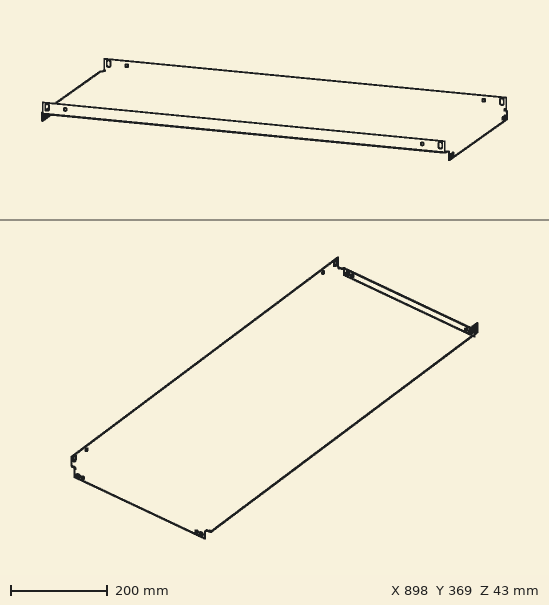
import cadquery as cq
import math

length = 898.0
width = 369.0
thickness = 1.5
side_flange_height = 25.5
end_flange_height = 19.0
side_flange_length = 885.5
end_flange_length = 345.0
inner_bend_radius = 1.5
outer_bend_radius = inner_bend_radius + thickness

relief_depth = 2.5
relief_width = 3.5

side_slot_x = 433.25
side_slot_z = 14.5
side_slot_length = 14.5
side_slot_width = 8.5
side_hole_x = 393.25
side_hole_z = 13.75
side_hole_diameter = 6.5

end_slot_y = 162.25
end_slot_length = 9.0
end_slot_width = 6.5
end_hole_y = 150.25
end_hole_diameter = 6.5
end_holes_z = -11.25

lengthwise = 0
upright = 90

half_length = length / 2
half_width = width / 2
mirror_signs = (-1, 1)


def channel_section(plane, half_span, leg_end, panel_outer, panel_inner, depth):
    """Extrude a U section, centred on its plane, with rounded bends between web and legs."""
    leg_direction = 1 if leg_end > panel_outer else -1
    outer_bend = panel_outer + leg_direction * outer_bend_radius
    inner_bend = panel_inner + leg_direction * inner_bend_radius
    inner_span = half_span - thickness
    bend_start = half_span - outer_bend_radius

    def on_bend(side, radius):
        """Middle point of a bend arc; inner and outer arcs share one centre."""
        diagonal = radius * math.sqrt(0.5)
        return (side * (bend_start + diagonal), outer_bend - leg_direction * diagonal)

    return (
        cq.Workplane(plane)
        .moveTo(-half_span, leg_end)
        .lineTo(-half_span, outer_bend)
        .threePointArc(on_bend(-1, outer_bend_radius), (-bend_start, panel_outer))
        .lineTo(bend_start, panel_outer)
        .threePointArc(on_bend(1, outer_bend_radius), (half_span, outer_bend))
        .lineTo(half_span, leg_end)
        .lineTo(inner_span, leg_end)
        .lineTo(inner_span, inner_bend)
        .threePointArc(on_bend(1, inner_bend_radius), (bend_start, panel_inner))
        .lineTo(-bend_start, panel_inner)
        .threePointArc(on_bend(-1, inner_bend_radius), (-inner_span, inner_bend))
        .lineTo(-inner_span, leg_end)
        .close()
        .extrude(depth / 2, both=True)
    )


def bent_panel():
    """Join the upward side flanges and the downward end flanges through the shared panel."""
    side_channel = channel_section(
        "YZ", half_width, side_flange_height - thickness, -thickness, 0, side_flange_length
    )
    end_channel = channel_section(
        "XZ", half_length, -end_flange_height, 0, -thickness, end_flange_length
    )
    return side_channel.union(end_channel)


def corner_reliefs():
    """Notches in the panel edge, starting where the bend of each side flange begins."""
    centre_x = (side_flange_length - relief_depth) / 2
    centre_y = half_width - outer_bend_radius - relief_width / 2
    corners = [(sx * centre_x, sy * centre_y) for sx in mirror_signs for sy in mirror_signs]
    return (
        cq.Workplane("XY")
        .pushPoints(corners)
        .rect(relief_depth, relief_width)
        .extrude(-thickness)
    )


def mirrored_points(offset, height):
    """One point on each side of the flange centre, at the given Z."""
    return [(sign * offset, height) for sign in mirror_signs]


def slot_cutters(plane, offset, height, slot_length, slot_width, direction, reach):
    """Round-ended slots through both opposite flanges."""
    return (
        cq.Workplane(plane)
        .pushPoints(mirrored_points(offset, height))
        .slot2D(slot_length, slot_width, direction)
        .extrude(reach, both=True)
    )


def hole_cutters(plane, offset, height, diameter, reach):
    """Round holes through both opposite flanges."""
    return (
        cq.Workplane(plane)
        .pushPoints(mirrored_points(offset, height))
        .circle(diameter / 2)
        .extrude(reach, both=True)
    )


side_slots = slot_cutters(
    "XZ", side_slot_x, side_slot_z, side_slot_length, side_slot_width, upright, half_width
)
side_holes = hole_cutters("XZ", side_hole_x, side_hole_z, side_hole_diameter, half_width)
end_slots = slot_cutters(
    "YZ", end_slot_y, end_holes_z, end_slot_length, end_slot_width, lengthwise, half_length
)
end_holes = hole_cutters("YZ", end_hole_y, end_holes_z, end_hole_diameter, half_length)

shelf = bent_panel().cut(corner_reliefs())
for cutter in (side_slots, side_holes, end_slots, end_holes):
    shelf = shelf.cut(cutter)

result = shelf.solids()